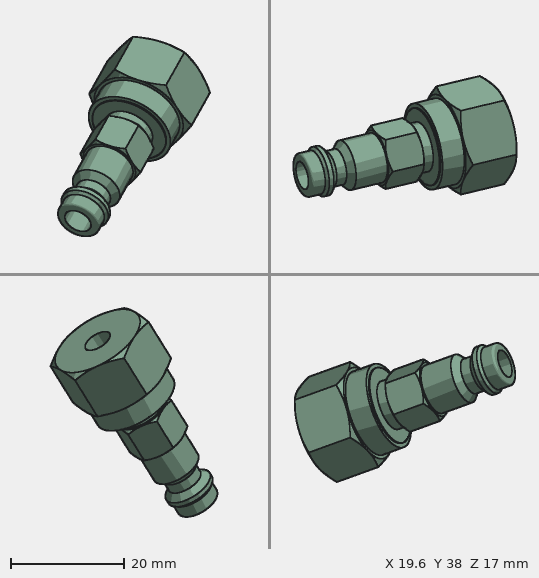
import cadquery as cq
import math

length = 38.0

large_hex_flats = 17.0
small_hex_flats = 10.0
hex_chamfer_angle = math.radians(30)

collar_radius = 7.83
collar_lip_radius = 7.03
body_radius = 4.52
groove_radius = 3.25
nose_radius = 4.0
bore_radius = 2.5
tip_rounding = 0.45

large_hex_end = 10.0
collar_edge = 14.25
collar_end = 14.48
small_hex_start = 16.5
small_hex_end = 23.5
body_end = 29.6
groove_start = 30.85
groove_end = 32.8
bead_start = 33.97
bead_end = 34.9
nose_start = 35.4


def revolve_profile(outline):
    """Revolve an outline of (radius, distance from wide end) about the Y axis."""
    points = [(radius, length / 2 - distance) for radius, distance in outline]
    return cq.Workplane("XY").polyline(points).close().revolve(360, (0, 0, 0), (0, 1, 0))


def chamfered_hex(flats, start, end):
    """Hexagon along the axis with flats up and down and both ends turned to a cone."""
    corner_radius = flats / 2 / math.cos(math.radians(30))
    chamfer_depth = (corner_radius - flats / 2) * math.tan(hex_chamfer_angle)
    prism = (
        cq.Workplane("XZ", origin=(0, length / 2 - start, 0))
        .polygon(6, 2 * corner_radius)
        .extrude(end - start)
    )
    envelope = revolve_profile([
        (0, start),
        (flats / 2, start),
        (corner_radius, start + chamfer_depth),
        (corner_radius, end - chamfer_depth),
        (flats / 2, end),
        (0, end),
    ])
    return prism.intersect(envelope)


turned = revolve_profile([
    (0, 0),
    (body_radius, 0),
    (body_radius, large_hex_end),
    (collar_radius, large_hex_end),
    (collar_radius, collar_edge),
    (collar_lip_radius, collar_edge),
    (collar_lip_radius, collar_end),
    (body_radius, collar_end),
    (body_radius, body_end),
    (groove_radius, groove_start),
    (groove_radius, groove_end),
    (body_radius, bead_start),
    (body_radius, bead_end),
    (nose_radius, nose_start),
    (nose_radius, length),
    (0, length),
])
turned = turned.faces("<Y").edges().fillet(tip_rounding)

bore = cq.Workplane("XZ", origin=(0, length / 2, 0)).circle(bore_radius).extrude(length)

result = (
    turned
    .union(chamfered_hex(large_hex_flats, 0, large_hex_end))
    .union(chamfered_hex(small_hex_flats, small_hex_start, small_hex_end))
    .cut(bore)
)